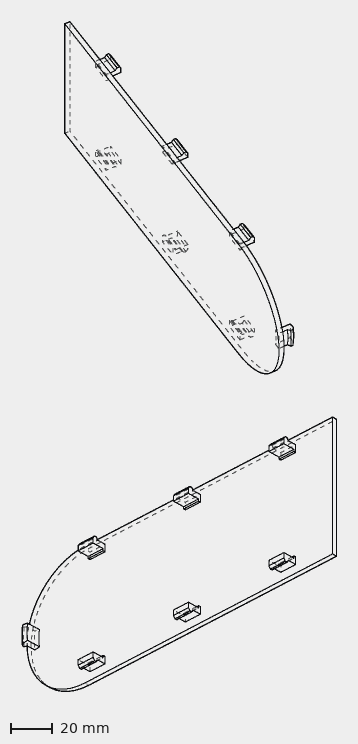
import cadquery as cq

length = 205.0
height = 78.0
plate_thickness = 2.9
total_depth = 11.0
end_radius = height / 2
end_center_x = length - end_radius

clip_inset = 5.0
clip_thickness = 3.0
clip_width = 10.0
first_clip_x = 29.7
clip_spacing = 64.0
clips_per_edge = 3
end_clip_angle = 18.2

barb_reach = 1.5
barb_top = 1.0
barb_bottom = 2.3
barb_base = 3.3

foot_reach = 1.2
foot_depth = 1.2

clip_outer = end_radius - clip_inset
clip_inner = clip_outer - clip_thickness
barb_outer = clip_outer + barb_reach
clip_root = plate_thickness / 2


def make_plate():
    return (
        cq.Workplane("XZ")
        .moveTo(0, -end_radius)
        .lineTo(end_center_x, -end_radius)
        .threePointArc((length, 0), (end_center_x, end_radius))
        .lineTo(0, end_radius)
        .close()
        .extrude(-plate_thickness)
    )


def clip_outline(with_foot):
    """Clip section as (distance from the plate centreline, Y) points."""
    points = [
        (clip_inner, total_depth),
        (clip_outer, total_depth),
        (barb_outer, total_depth - barb_top),
        (barb_outer, total_depth - barb_bottom),
        (clip_outer, total_depth - barb_base),
        (clip_outer, clip_root),
    ]
    if with_foot:
        foot_inner = clip_inner - foot_reach
        foot_top = plate_thickness + foot_depth
        points += [(foot_inner, clip_root), (foot_inner, foot_top), (clip_inner, foot_top)]
    else:
        points.append((clip_inner, clip_root))
    return points


def make_straight_clip(center_x, side):
    """Clip along a long edge; side is +1 for the upper edge and -1 for the lower."""
    section = [(y, side * distance) for distance, y in clip_outline(with_foot=True)]
    return (
        cq.Workplane("YZ")
        .workplane(offset=center_x - clip_width / 2)
        .polyline(section)
        .close()
        .extrude(clip_width)
    )


def make_end_clip():
    """Curved clip concentric with the rounded end, centred on the X axis."""
    return (
        cq.Workplane("XY")
        .polyline(clip_outline(with_foot=False))
        .close()
        .revolve(end_clip_angle, (0, 0, 0), (0, 1, 0))
        .rotate((0, 0, 0), (0, 1, 0), -end_clip_angle / 2)
        .translate((end_center_x, 0, 0))
    )


result = make_plate()
for index in range(clips_per_edge):
    for side in (1, -1):
        result = result.union(make_straight_clip(first_clip_x + index * clip_spacing, side))
result = result.union(make_end_clip())